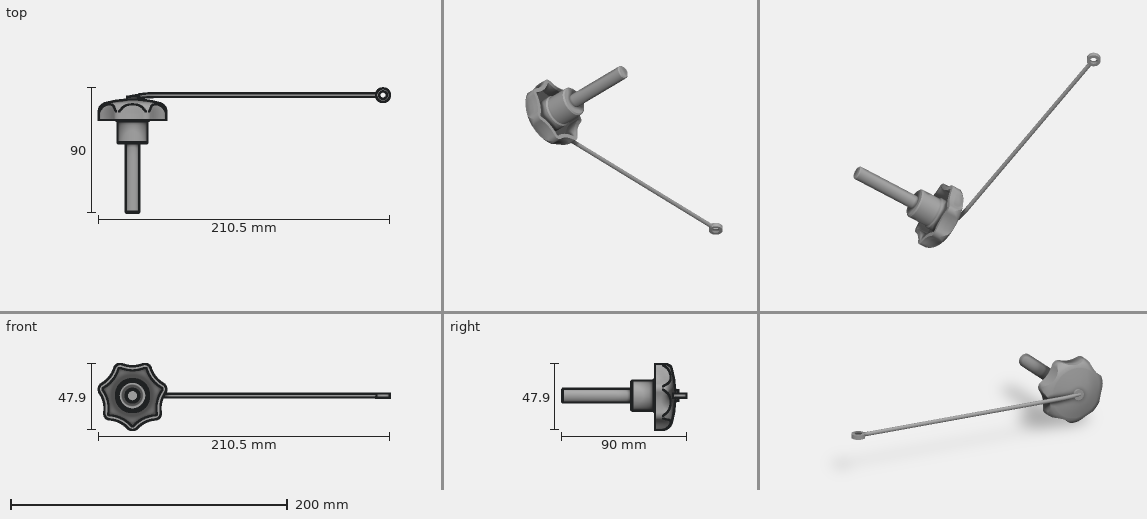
import cadquery as cq
import math


lobe_count = 7
first_lobe_angle = -math.pi / 2
lobe_centre_radius = 20.475
lobe_radius = 4.5
scallop_radius = 20.0
crown_height = 15.0
shoulder_radius = 8.0
shoulder_height = 4.7

wall_thickness = 3.0
cavity_depth = 9.0
cavity_corner_radius = 1.0

hub_diameter = 22.0
hub_length = 17.0
hub_chamfer = 1.0
collar_diameter = 24.0
collar_projection = 1.0
collar_chamfer = (collar_diameter - hub_diameter) / 2
screw_diameter = 10.0
screw_length = 50.0
screw_chamfer = 0.8

button_diameter = 8.0
button_height = 2.0
arm_diameter = 3.0
arm_height = 18.0
bend_start_x = 15.2
bend_radius = 60.0
bend_run = 10.4
tail_diameter = 2.5
tail_length = 6.3

eye_x = 181.0
eye_diameter = 10.0
eye_thickness = 3.2
eye_hole_diameter = 5.3

knob_radius = lobe_centre_radius + lobe_radius
lobe_pitch = 2 * math.pi / lobe_count
half_pitch = lobe_pitch / 2

lobe_half_chord = lobe_centre_radius * math.sin(half_pitch)
centre_distance = scallop_radius + lobe_radius
scallop_centre_radius = (
    lobe_centre_radius * math.cos(half_pitch)
    + math.sqrt(centre_distance**2 - lobe_half_chord**2)
)
lobe_half_sweep = half_pitch + math.asin(lobe_half_chord / centre_distance)


def polar(radius, angle):
    return cq.Vector(radius * math.cos(angle), radius * math.sin(angle))


def arc_point(centre_x, centre_y, radius, angle):
    """Point on a circle, with the angle measured from +Y towards +X."""
    return (centre_x + radius * math.sin(angle), centre_y + radius * math.cos(angle))


def facing_front(height):
    """Workplane at Y = height; local x, y are X, Z and extrusions grow towards -Y."""
    return cq.Workplane("XZ", origin=(0, height, 0))


def cylinder(diameter, bottom, top):
    """Cylinder about the knob axis from Y = bottom to Y = top."""
    return facing_front(top).circle(diameter / 2).extrude(top - bottom)


def lobe_point(lobe_angle, direction):
    """Point on the rounded tip of a lobe, in the given direction from the tip's centre."""
    return polar(lobe_centre_radius, lobe_angle) + polar(lobe_radius, direction)


def star_prism():
    """Rounded lobes joined by tangent concave scallops."""
    valley_radius = scallop_centre_radius - scallop_radius
    start = lobe_point(first_lobe_angle, first_lobe_angle - lobe_half_sweep)
    outline = facing_front(crown_height).moveTo(start.x, start.y)
    for i in range(lobe_count):
        angle = first_lobe_angle + i * lobe_pitch
        next_angle = angle + lobe_pitch
        lobe_end = lobe_point(angle, angle + lobe_half_sweep)
        next_start = lobe_point(next_angle, next_angle - lobe_half_sweep)
        outline = outline.threePointArc(polar(knob_radius, angle), lobe_end)
        outline = outline.threePointArc(polar(valley_radius, angle + half_pitch), next_start)
    return outline.close().extrude(crown_height)


def dome():
    """Round blank: a shallow spherical crown running smoothly into a rounded shoulder."""
    shoulder_x = knob_radius - shoulder_radius
    rise = crown_height - shoulder_height
    crown_radius = (shoulder_x**2 + rise**2 - shoulder_radius**2) / (2 * (rise - shoulder_radius))
    crown_angle = math.asin(shoulder_x / (crown_radius - shoulder_radius))

    def on_shoulder(angle):
        return arc_point(shoulder_x, shoulder_height, shoulder_radius, angle)

    def on_crown(angle):
        return arc_point(0, crown_height - crown_radius, crown_radius, angle)

    return (
        cq.Workplane("XY")
        .lineTo(knob_radius, 0)
        .lineTo(knob_radius, shoulder_height)
        .threePointArc(on_shoulder((math.pi / 2 + crown_angle) / 2), on_shoulder(crown_angle))
        .threePointArc(on_crown(crown_angle / 2), on_crown(0))
        .close()
        .revolve(360, (0, 0, 0), (0, 1, 0))
    )


def cavity():
    """Hollow bounded by arcs concentric with the scallops, meeting in tight rounded corners."""
    arc_radius = scallop_radius + wall_thickness
    half_chord = scallop_centre_radius * math.sin(half_pitch)
    corner_radius = scallop_centre_radius * math.cos(half_pitch) - math.sqrt(arc_radius**2 - half_chord**2)
    valley_radius = scallop_centre_radius - arc_radius
    first_corner = polar(corner_radius, first_lobe_angle)
    outline = facing_front(cavity_depth).moveTo(first_corner.x, first_corner.y)
    for i in range(lobe_count):
        angle = first_lobe_angle + i * lobe_pitch
        outline = outline.threePointArc(
            polar(valley_radius, angle + half_pitch), polar(corner_radius, angle + lobe_pitch)
        )
    return outline.close().extrude(cavity_depth).edges("|Y").fillet(cavity_corner_radius)


def hub_and_screw():
    hub = cylinder(hub_diameter, -hub_length, cavity_depth).faces("<Y").chamfer(hub_chamfer)
    collar = cylinder(collar_diameter, -collar_projection, cavity_depth).faces("<Y").chamfer(collar_chamfer)
    screw = cylinder(screw_diameter, -hub_length - screw_length, 0).faces("<Y").chamfer(screw_chamfer)
    return hub.union(collar).union(screw)


def retaining_arm():
    """Round arm that bends gently down to the button, where a thinner tail runs into it."""
    arm_end_x = eye_x - (eye_diameter + eye_hole_diameter) / 4
    bend_angle = math.asin(bend_run / bend_radius)
    bend_centre_y = arm_height - bend_radius

    def on_bend(angle):
        return arc_point(bend_start_x, bend_centre_y, bend_radius, -angle)

    path = (
        cq.Workplane("XY")
        .moveTo(arm_end_x, arm_height)
        .lineTo(bend_start_x, arm_height)
        .threePointArc(on_bend(bend_angle / 2), on_bend(bend_angle))
    )
    arm = (
        cq.Workplane("YZ", origin=(arm_end_x, arm_height, 0))
        .circle(arm_diameter / 2)
        .sweep(path)
    )
    tail_direction = cq.Vector(-math.cos(bend_angle), -math.sin(bend_angle), 0)
    tail = cq.Workplane(
        cq.Solid.makeCylinder(
            tail_diameter / 2, tail_length, cq.Vector(*on_bend(bend_angle), 0), tail_direction
        )
    )
    return arm.union(tail)


def eye_disc(diameter):
    return (
        cq.Workplane("XY", origin=(eye_x, arm_height, -eye_thickness / 2))
        .circle(diameter / 2)
        .extrude(eye_thickness)
    )


knob = star_prism().intersect(dome()).cut(cavity())
button = cylinder(button_diameter, cavity_depth, crown_height + button_height)
result = (
    knob.union(hub_and_screw())
    .union(button)
    .union(retaining_arm())
    .union(eye_disc(eye_diameter))
    .cut(eye_disc(eye_hole_diameter))
)